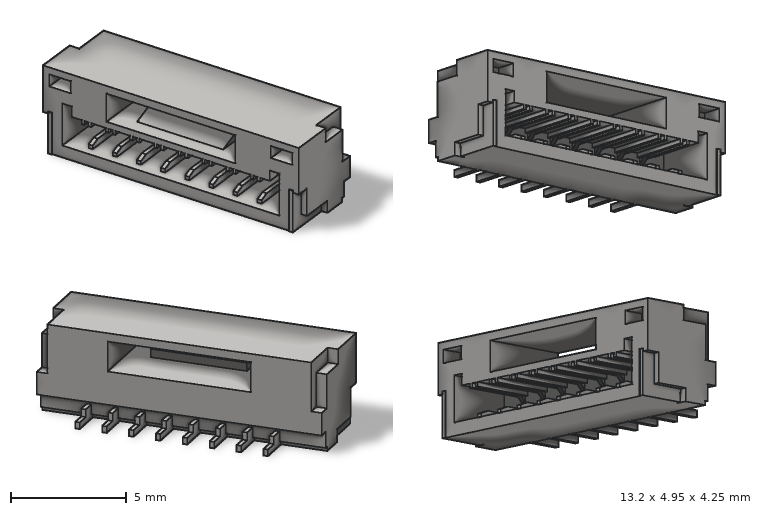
import cadquery as cq

LENGTH = 13.25
DEPTH = 4.95
HEIGHT = 4.25
MID_X = LENGTH / 2

FRONT = 0.04
BACK = 4.05
OVERHANG_Z = 0.94
HEEL_Y = 3.59
FOOT_RELIEF_Y = 3.43
FOOT_RELIEF_Z = 0.2

CORNER_WIDTH = 0.49
CORNER_FRONT_Y = 2.15
CORNER_FLOOR_Z = 3.56
CORNER_STEP_Y = 3.46
CORNER_BOTTOM_Z = 1.99

CAVITY_SIDE = 1.01
CAVITY_BACK = 3.0
CAVITY_FLOOR_Z = 0.6
CAVITY_TOP_Z = 2.16
EAR_WIDTH = 0.49
EAR_TOP_Z = 2.68

WINDOW_WIDTH = 6.66
WINDOW_BOTTOM_Z = 2.48
WINDOW_TOP_Z = 3.87
RAMP_WIDTH = 4.45
RAMP_RISE = 0.38
RAMP_RUN = 1.01
RAMP_FRONT_Y = 0.77

POCKET_SIDE = 0.33
POCKET_WIDTH = 1.11
POCKET_BOTTOM_Z = 3.31
POCKET_HEIGHT = 0.6
POCKET_DEPTH = 1.0

PIN_COUNT = 8
PIN_ROW_SPAN = 8.75
PIN_PITCH = PIN_ROW_SPAN / (PIN_COUNT - 1)
PIN_WIDTH = 0.21
PIN_TIP_Y = 0.37
PIN_BOTTOM_Z = 0.68
PIN_TOP_Z = 1.01
PIN_TIP_TOP_Z = 0.85
PIN_SLOPE_RUN = 0.4
PRONG_LIP_Z = 2.1
PRONG_BOTTOM_Z = 1.68
TAIL_STEP_Y = 4.25
TAIL_TOP_Z = 0.3
TAIL_SHOULDER_Z = 0.66
TAIL_ROOT_Y = 3.18
RIB_WIDTH = 0.49
RIB_BOTTOM_Z = 1.96

TAB_RECESS = 0.29
TAB_THICKNESS = 0.2
TAB_LEG_Y = 0.68
TAB_LEG_TOP_Z = 2.07
RECESS_TOP_Z = 1.95
RECESS_FOOT_Z = 0.6
RECESS_BACK_Y = 2.27
FOOT_GAP_LENGTH = 0.04
FOOT_GAP_TOP_Z = 0.41


def box(x0, x1, y0, y1, z0, z1):
    """Axis-aligned block between the given limits."""
    return cq.Workplane("XY").box(x1 - x0, y1 - y0, z1 - z0, centered=False).translate((x0, y0, z0))


def profile(points, x0, width):
    """Side outline given as (y, z) points, extruded along +X from x0."""
    return cq.Workplane("YZ").polyline(points).close().extrude(width).translate((x0, 0, 0))


def both_ends(shape):
    """A shape at the left end joined with its mirror image at the right end."""
    mirrored = shape.mirror("YZ", (MID_X, 0, 0))
    return shape.union(mirrored)


def housing_block():
    outline = [
        (FRONT, 0),
        (FOOT_RELIEF_Y, 0),
        (FOOT_RELIEF_Y, FOOT_RELIEF_Z),
        (HEEL_Y, FOOT_RELIEF_Z),
        (HEEL_Y, OVERHANG_Z),
        (BACK, OVERHANG_Z),
        (BACK, HEIGHT),
        (FRONT, HEIGHT),
    ]
    return profile(outline, 0, LENGTH)


def corner_recesses():
    outline = [
        (CORNER_FRONT_Y, HEIGHT),
        (CORNER_FRONT_Y, CORNER_FLOOR_Z),
        (CORNER_STEP_Y, CORNER_FLOOR_Z),
        (CORNER_STEP_Y, CORNER_BOTTOM_Z),
        (BACK, CORNER_BOTTOM_Z),
        (BACK, HEIGHT),
    ]
    return both_ends(profile(outline, 0, CORNER_WIDTH))


def plug_cavity():
    main = box(CAVITY_SIDE, LENGTH - CAVITY_SIDE, FRONT, CAVITY_BACK, CAVITY_FLOOR_Z, CAVITY_TOP_Z)
    ear = box(CAVITY_SIDE, CAVITY_SIDE + EAR_WIDTH, FRONT, CAVITY_BACK, CAVITY_FLOOR_Z, EAR_TOP_Z)
    return main.union(both_ends(ear))


def latch_window():
    half = WINDOW_WIDTH / 2
    return box(MID_X - half, MID_X + half, FRONT, BACK, WINDOW_BOTTOM_Z, WINDOW_TOP_Z)


def latch_ramp():
    ramp_back = RAMP_FRONT_Y + RAMP_RUN
    outline = [
        (RAMP_FRONT_Y, WINDOW_BOTTOM_Z),
        (ramp_back, WINDOW_BOTTOM_Z),
        (ramp_back, WINDOW_BOTTOM_Z + RAMP_RISE),
    ]
    return profile(outline, MID_X - RAMP_WIDTH / 2, RAMP_WIDTH)


def front_pockets():
    pocket = box(
        POCKET_SIDE,
        POCKET_SIDE + POCKET_WIDTH,
        FRONT,
        FRONT + POCKET_DEPTH,
        POCKET_BOTTOM_Z,
        POCKET_BOTTOM_Z + POCKET_HEIGHT,
    )
    return both_ends(pocket)


def tab_recesses():
    outline = [
        (0, 0),
        (RECESS_BACK_Y, 0),
        (RECESS_BACK_Y, RECESS_FOOT_Z),
        (TAB_LEG_Y, RECESS_FOOT_Z),
        (TAB_LEG_Y, RECESS_TOP_Z),
        (0, RECESS_TOP_Z),
    ]
    recess = profile(outline, 0, TAB_RECESS)
    foot_gap = box(
        TAB_RECESS,
        TAB_RECESS + TAB_THICKNESS,
        RECESS_BACK_Y - FOOT_GAP_LENGTH,
        RECESS_BACK_Y,
        0,
        FOOT_GAP_TOP_Z,
    )
    return both_ends(recess.union(foot_gap))


def solder_tabs():
    leg = box(TAB_RECESS, TAB_RECESS + TAB_THICKNESS, 0, TAB_LEG_Y, 0, TAB_LEG_TOP_Z)
    return both_ends(leg)


def guide_rib(x):
    """Rib under the cavity roof, slotted along its middle for the contact."""
    half = RIB_WIDTH / 2
    slot = PIN_WIDTH / 2
    rib = box(x - half, x + half, FRONT, CAVITY_BACK, RIB_BOTTOM_Z, CAVITY_TOP_Z)
    return rib.cut(box(x - slot, x + slot, FRONT, CAVITY_BACK, RIB_BOTTOM_Z, CAVITY_TOP_Z))


def contact(x):
    """One contact: mating blade, 45-degree upper prong at the cavity back, and solder tail."""
    left = x - PIN_WIDTH / 2
    blade = [
        (PIN_TIP_Y, PIN_BOTTOM_Z),
        (TAIL_ROOT_Y, PIN_BOTTOM_Z),
        (TAIL_ROOT_Y, PIN_TOP_Z),
        (PIN_TIP_Y + PIN_SLOPE_RUN, PIN_TOP_Z),
        (PIN_TIP_Y, PIN_TIP_TOP_Z),
    ]
    prong_front = CAVITY_BACK - (PRONG_LIP_Z - PRONG_BOTTOM_Z)
    prong = [
        (CAVITY_BACK, PRONG_BOTTOM_Z),
        (CAVITY_BACK, CAVITY_TOP_Z),
        (prong_front, CAVITY_TOP_Z),
        (prong_front, PRONG_LIP_Z),
    ]
    tail = [
        (TAIL_ROOT_Y, 0),
        (DEPTH, 0),
        (DEPTH, TAIL_TOP_Z),
        (TAIL_STEP_Y, TAIL_TOP_Z),
        (TAIL_STEP_Y, TAIL_SHOULDER_Z),
        (TAIL_ROOT_Y, TAIL_SHOULDER_Z),
    ]
    solid = profile(blade, left, PIN_WIDTH)
    for outline in (prong, tail):
        solid = solid.union(profile(outline, left, PIN_WIDTH))
    return solid


housing = housing_block()
for opening in (corner_recesses(), plug_cavity(), latch_window(), front_pockets(), tab_recesses()):
    housing = housing.cut(opening)

result = housing.union(latch_ramp()).union(solder_tabs())
first_pin_x = MID_X - PIN_ROW_SPAN / 2
for index in range(PIN_COUNT):
    pin_x = first_pin_x + index * PIN_PITCH
    result = result.union(guide_rib(pin_x)).union(contact(pin_x))
result = result.clean()